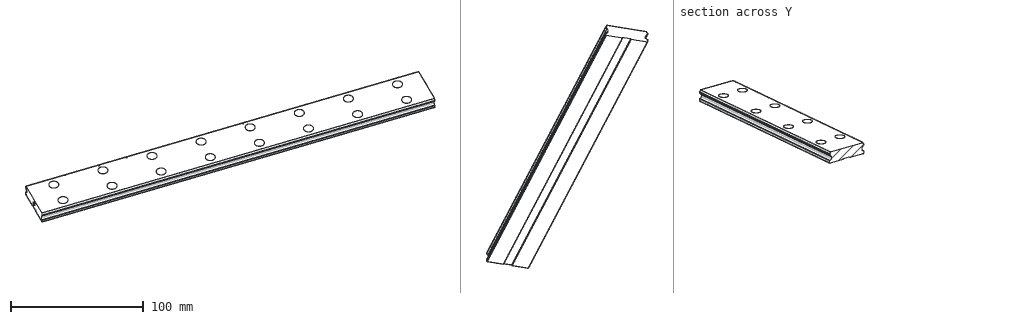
import cadquery as cq
import math

LENGTH = 320.0
WIDTH = 33.0
HEIGHT = 9.3

SLOPE_ANGLE = math.radians(45)

FOOT_CHAMFER = 0.5
FOOT_SIDE_TOP = 1.7
FOOT_SHOULDER_HEIGHT = 2.3
FOOT_SHOULDER_INSET = 0.1

NECK_INSET = 1.9
NECK_FILLET = 0.4
NECK_BOTTOM = 3.53
NECK_TOP = 5.0

RACEWAY_RADIUS = 0.9
LIP_BOTTOM = 7.0
LIP_TOP = 7.9

RELIEF_WIDTH = 7.0
RELIEF_DEPTH = 0.5

RECESS_DIAMETER = 7.5
RECESS_DEPTH = 0.1
ROW_SPACING = 18.0
RECESS_PITCH = 40.0
RECESS_COUNT = 8

END_SLOT_LENGTH = 3.0
END_SLOT_HEIGHT = 1.8
END_SLOT_DEPTH = 0.5


def half_rail():
    """Extrude the +X half of the rail section along the full length."""
    side = WIDTH / 2
    relief_x = RELIEF_WIDTH / 2
    neck_x = side - NECK_INSET
    raceway_x = side - RACEWAY_RADIUS
    raceway_diagonal = RACEWAY_RADIUS * math.sin(SLOPE_ANGLE)
    slope_run = NECK_BOTTOM - FOOT_SHOULDER_HEIGHT

    half_angle = SLOPE_ANGLE / 2
    fillet_tangent = NECK_FILLET * math.tan(half_angle)
    fillet_mid_x = neck_x + NECK_FILLET * (1 - math.cos(half_angle))
    fillet_mid_z = NECK_BOTTOM + fillet_tangent - NECK_FILLET * math.sin(half_angle)
    slope_offset = fillet_tangent * math.sin(SLOPE_ANGLE)

    section = (
        cq.Workplane("XZ")
        .moveTo(0, RELIEF_DEPTH)
        .lineTo(relief_x - RELIEF_DEPTH, RELIEF_DEPTH)
        .lineTo(relief_x, 0)
        .lineTo(side - FOOT_CHAMFER, 0)
        .lineTo(side, FOOT_CHAMFER)
        .lineTo(side, FOOT_SIDE_TOP)
        .lineTo(side - FOOT_SHOULDER_INSET, FOOT_SHOULDER_HEIGHT)
        .lineTo(neck_x + slope_run, FOOT_SHOULDER_HEIGHT)
        .lineTo(neck_x + slope_offset, NECK_BOTTOM - slope_offset)
        .threePointArc((fillet_mid_x, fillet_mid_z), (neck_x, NECK_BOTTOM + fillet_tangent))
        .lineTo(neck_x, NECK_TOP)
        .lineTo(raceway_x, LIP_BOTTOM - RACEWAY_RADIUS)
        .threePointArc(
            (side - raceway_diagonal, LIP_BOTTOM - RACEWAY_RADIUS + raceway_diagonal),
            (side, LIP_BOTTOM),
        )
        .lineTo(side, LIP_TOP)
        .threePointArc(
            (side - raceway_diagonal, LIP_TOP + RACEWAY_RADIUS - raceway_diagonal),
            (raceway_x, LIP_TOP + RACEWAY_RADIUS),
        )
        .lineTo(raceway_x, HEIGHT)
        .lineTo(0, HEIGHT)
        .close()
    )
    return section.extrude(LENGTH / 2, both=True)


def rail_body():
    """Mirror the half rail about the YZ plane and merge both halves."""
    half = half_rail()
    return half.union(half.mirror("YZ")).clean()


def top_recesses():
    """Cutters for the two rows of round recesses."""
    return (
        cq.Workplane("XY", origin=(0, 0, HEIGHT))
        .rarray(ROW_SPACING, RECESS_PITCH, 2, RECESS_COUNT)
        .circle(RECESS_DIAMETER / 2)
        .extrude(-RECESS_DEPTH)
    )


def end_slot():
    """Cutter for the shallow slot in the middle of the front end face."""
    return (
        cq.Workplane("XZ", origin=(0, -LENGTH / 2, HEIGHT / 2))
        .slot2D(END_SLOT_LENGTH, END_SLOT_HEIGHT)
        .extrude(-END_SLOT_DEPTH)
    )


result = rail_body().cut(top_recesses()).cut(end_slot())